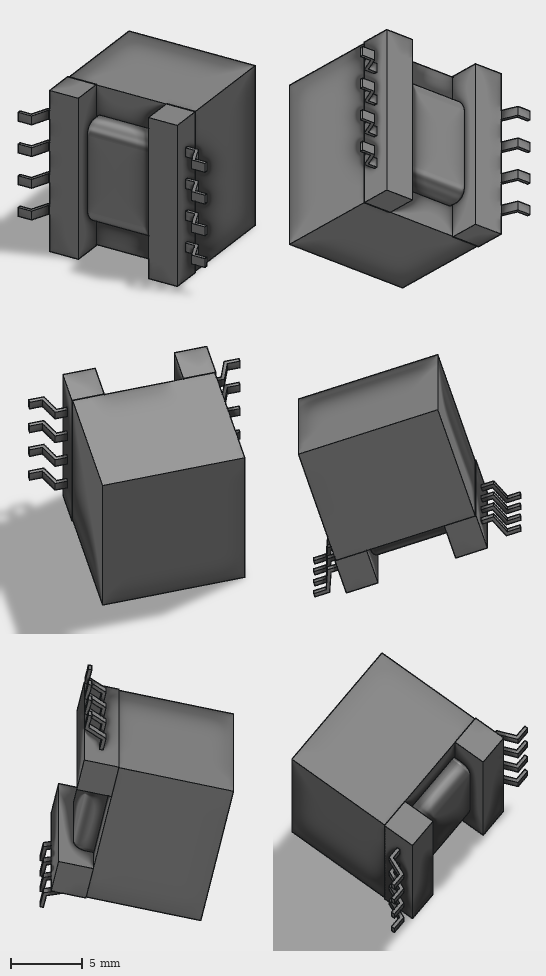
import cadquery as cq
import math


CORE_WIDTH = 10.3
CORE_DEPTH = 8.25
CORE_HEIGHT = 12.59

RAIL_SPAN = 10.42
RAIL_WIDTH = 2.35
RAIL_DEPTH = 2.5
RAIL_HEIGHT = 12.7
RAIL_GAP = RAIL_SPAN - 2 * RAIL_WIDTH

WINDING_HEIGHT = 7.99
WINDING_PROTRUSION = 1.51
WINDING_EMBED = 1.52
WINDING_CORNER_RADIUS = 1.0
WINDING_EDGE_RADIUS = 0.35

LEAD_SPAN = 15.24
LEADS_PER_SIDE = 4
LEAD_PITCH = 2.5
LEAD_WIDTH = 0.7
LEAD_THICKNESS = 0.26
LEAD_FOOT_LENGTH = 1.1
LEAD_SLOPE_RUN = 0.56
LEAD_SLOPE_RISE = 1.35
LEAD_EMBED = 0.76
OVERALL_DEPTH = 11.0


def make_core():
    return cq.Workplane("XY").box(CORE_WIDTH, CORE_DEPTH, CORE_HEIGHT, centered=(True, False, True))


def make_rail(side):
    """Rail at the +X (side = 1) or -X (side = -1) end of the core's front face."""
    center_x = side * (RAIL_SPAN - RAIL_WIDTH) / 2
    rail = cq.Workplane("XY").box(RAIL_WIDTH, RAIL_DEPTH, RAIL_HEIGHT)
    return rail.translate((center_x, -RAIL_DEPTH / 2, 0))


def make_winding():
    """Rounded block filling the gap between the rails, its back sunk into the core."""
    depth = WINDING_PROTRUSION + WINDING_EMBED
    block = cq.Workplane("XY").box(RAIL_GAP, depth, WINDING_HEIGHT)
    block = block.edges("|X and <Y").fillet(WINDING_CORNER_RADIUS)
    block = block.faces("<X or >X").edges().fillet(WINDING_EDGE_RADIUS)
    return block.translate((0, depth / 2 - WINDING_PROTRUSION, 0))


def make_lead():
    """Lead on the -X side, centred on Z = 0: foot, slope, then an arm running into the rail."""
    bend_angle = math.atan2(LEAD_SLOPE_RISE, LEAD_SLOPE_RUN)
    bend_shift = LEAD_THICKNESS * math.tan(bend_angle / 2)

    tip_x = -LEAD_SPAN / 2
    foot_end_x = tip_x + LEAD_FOOT_LENGTH
    arm_start_x = foot_end_x + LEAD_SLOPE_RUN
    arm_end_x = -RAIL_SPAN / 2 + LEAD_EMBED
    foot_y = CORE_DEPTH - OVERALL_DEPTH
    arm_y = foot_y + LEAD_SLOPE_RISE
    profile = [
        (tip_x, foot_y),
        (foot_end_x, foot_y),
        (arm_start_x, arm_y),
        (arm_end_x, arm_y),
        (arm_end_x, arm_y + LEAD_THICKNESS),
        (arm_start_x - bend_shift, arm_y + LEAD_THICKNESS),
        (foot_end_x - bend_shift, foot_y + LEAD_THICKNESS),
        (tip_x, foot_y + LEAD_THICKNESS),
    ]
    return cq.Workplane("XY").polyline(profile).close().extrude(LEAD_WIDTH / 2, both=True)


result = make_core().union(make_winding())
for side in (-1, 1):
    result = result.union(make_rail(side))

left_lead = make_lead()
right_lead = left_lead.mirror("YZ")
for index in range(LEADS_PER_SIDE):
    lead_z = (index - (LEADS_PER_SIDE - 1) / 2) * LEAD_PITCH
    result = result.union(left_lead.translate((0, 0, lead_z)))
    result = result.union(right_lead.translate((0, 0, lead_z)))